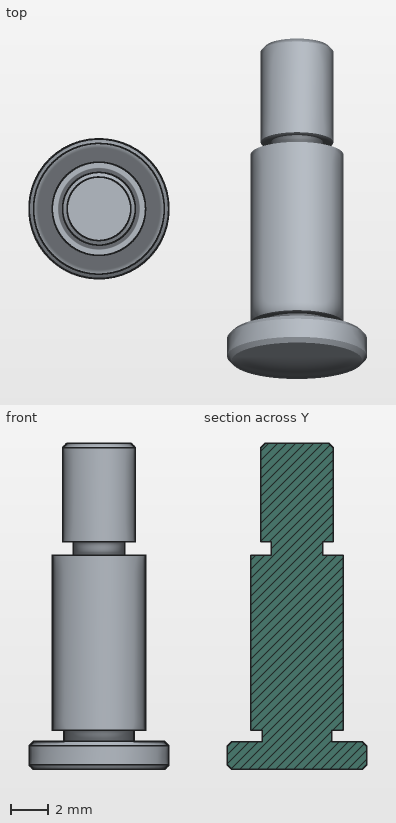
import cadquery as cq

head_diameter = 7.5
lower_neck_diameter = 3.78
shoulder_diameter = 5.0
upper_neck_diameter = 2.78
tip_diameter = 3.9

head_top = 1.5
shoulder_bottom = 2.1
shoulder_top = 11.5
tip_bottom = 12.2
total_height = 17.5

edge_chamfer = 0.25


def cylinder(diameter, bottom, top):
    """Solid cylinder on the Z axis between two heights."""
    return cq.Workplane("XY").workplane(offset=bottom).circle(diameter / 2).extrude(top - bottom)


head = cylinder(head_diameter, 0, head_top).edges().chamfer(edge_chamfer)

lower_neck = cylinder(lower_neck_diameter, head_top, shoulder_bottom)
shoulder = cylinder(shoulder_diameter, shoulder_bottom, shoulder_top)
upper_neck = cylinder(upper_neck_diameter, shoulder_top, tip_bottom)

tip = cylinder(tip_diameter, tip_bottom, total_height).faces(">Z").edges().chamfer(edge_chamfer)

result = head.union(lower_neck).union(shoulder).union(upper_neck).union(tip)